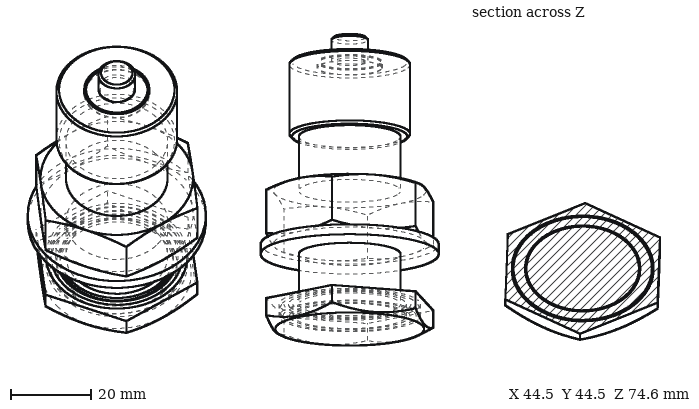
import cadquery as cq
import math

total_height = 74.6
head_top = 68.3
head_bottom = 49.2
nut_top = 35.35
nut_bottom = 21.7
washer_bottom = 19.2
flange_top = 6.35

pin_diameter = 9.2
head_diameter = 30.15
body_diameter = 25.4
washer_diameter = 44.45
across_flats = 38.05
across_corners = across_flats / math.cos(math.pi / 6)

edge_chamfer = 0.7
pin_foot_chamfer = 0.45
nut_chamfer_angle = 24.0
flange_chamfer_angle = 30.0
flange_face_diameter = 37.15

bore_diameter = 16.3
plunger_diameter = 15.9
plunger_chamfer = 0.3
bore_depth = 1.5

groove_outer_diameter = 35.3
groove_inner_diameter = 28.2
groove_depth = 3.0
seal_outer_diameter = 34.9
seal_inner_diameter = 28.35
seal_flat_width = 1.1


def cylinder(diameter, bottom, top):
    return cq.Workplane("XY").workplane(offset=bottom).circle(diameter / 2).extrude(top - bottom)


def hexagon(bottom, top):
    return cq.Workplane("XY").workplane(offset=bottom).polygon(6, across_corners).extrude(top - bottom)


def corner_envelope(bottom, top, face_diameter, angle, chamfer_top):
    """Solid of revolution whose conical ends trim the hexagon corners."""
    face_radius = face_diameter / 2
    outer_radius = across_corners / 2 + 0.75
    drop = (outer_radius - face_radius) * math.tan(math.radians(angle))
    profile = cq.Workplane("XZ").moveTo(0, bottom).lineTo(face_radius, bottom)
    profile = profile.lineTo(outer_radius, bottom + drop)
    if chamfer_top:
        profile = profile.lineTo(outer_radius, top - drop).lineTo(face_radius, top)
    else:
        profile = profile.lineTo(outer_radius, top)
    return profile.lineTo(0, top).close().revolve(360, (0, 0, 0), (0, 1, 0))


def make_flange():
    """Lower hexagon with its grooved upper face and the seal lying flush in the groove."""
    flange = hexagon(0, flange_top).intersect(
        corner_envelope(0, flange_top, flange_face_diameter, flange_chamfer_angle, False)
    )
    groove_floor = flange_top - groove_depth
    groove = cylinder(groove_outer_diameter, groove_floor, flange_top).cut(
        cylinder(groove_inner_diameter, groove_floor, flange_top)
    )
    section_radius = (seal_outer_diameter - seal_inner_diameter) / 4
    seal_radius = (seal_outer_diameter + seal_inner_diameter) / 4
    seal_center = flange_top - math.sqrt(section_radius**2 - (seal_flat_width / 2) ** 2)
    seal = (
        cq.Workplane("XZ")
        .center(seal_radius, seal_center)
        .circle(section_radius)
        .revolve(360, (-seal_radius, 0, 0), (-seal_radius, 1, 0))
        .intersect(cylinder(washer_diameter, 0, flange_top))
    )
    return flange.cut(groove).union(seal)


def make_nut():
    envelope = corner_envelope(nut_bottom, nut_top, across_flats, nut_chamfer_angle, True)
    return hexagon(nut_bottom, nut_top).intersect(envelope)


def make_head():
    """Head with a bored top holding the plunger and its pin."""
    head = cylinder(head_diameter, head_bottom, head_top).edges().chamfer(edge_chamfer)
    bore_floor = head_top - bore_depth
    plunger = cylinder(plunger_diameter, bore_floor, head_top).faces(">Z").chamfer(plunger_chamfer)
    pin = (
        cylinder(pin_diameter, head_top, total_height)
        .faces(">Z")
        .chamfer(edge_chamfer)
        .faces("<Z")
        .chamfer(pin_foot_chamfer)
    )
    return head.cut(cylinder(bore_diameter, bore_floor, head_top)).union(plunger).union(pin)


body = cylinder(body_diameter, 0, head_bottom)
washer = cylinder(washer_diameter, washer_bottom, nut_bottom)

result = make_flange().union(body).union(washer).union(make_nut()).union(make_head())